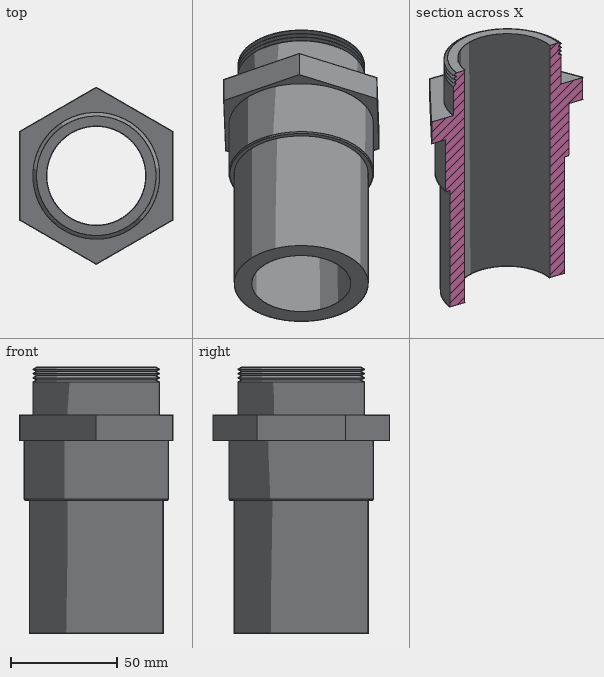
import cadquery as cq
import math

total_height = 125.0
bore_diameter = 46.5

spigot_diameter = 63.0
spigot_height = 62.5

collar_diameter = 68.0
collar_height = 28.0
collar_chamfer_height = 0.7
collar_chamfer_width = 0.5

hex_across_flats = 72.0
hex_height = 12.0
hex_sides = 6
hex_half_corner_angle = 180 / hex_sides
hex_corner_diameter = hex_across_flats / math.cos(math.radians(hex_half_corner_angle))

thread_diameter = 59.6
thread_pitch = 2.0
thread_profile_angle = 60.0
thread_crest_count = 3
half_pitch = thread_pitch / 2
thread_depth = half_pitch / math.tan(math.radians(thread_profile_angle / 2))

collar_base = spigot_height
hex_base = collar_base + collar_height
neck_base = hex_base + hex_height


def make_spigot():
    return cq.Workplane("XY").circle(spigot_diameter / 2).extrude(spigot_height)


def make_collar():
    base = cq.Workplane("XY", origin=(0, 0, collar_base))
    collar = base.circle(collar_diameter / 2).extrude(collar_height)
    return collar.faces("<Z").edges().chamfer(collar_chamfer_height, collar_chamfer_width)


def make_hexagon():
    hexagon = cq.Workplane("XY").polygon(hex_sides, hex_corner_diameter).extrude(hex_height)
    return hexagon.rotate((0, 0, 0), (0, 0, 1), hex_half_corner_angle).translate((0, 0, hex_base))


def make_threaded_neck():
    """Revolve a half profile whose upper end zigzags between crests and roots."""
    crest_radius = thread_diameter / 2
    root_radius = crest_radius - thread_depth
    profile = cq.Workplane("XZ").moveTo(0, total_height).lineTo(root_radius, total_height)
    crest_level = total_height - half_pitch
    for _ in range(thread_crest_count):
        profile = profile.lineTo(crest_radius, crest_level)
        profile = profile.lineTo(root_radius, crest_level - half_pitch)
        crest_level -= thread_pitch
    profile = profile.lineTo(crest_radius, crest_level)
    profile = profile.lineTo(crest_radius, neck_base).lineTo(0, neck_base).close()
    return profile.revolve(360, (0, 0, 0), (0, 1, 0))


def make_bore():
    return cq.Workplane("XY").circle(bore_diameter / 2).extrude(total_height)


body = make_spigot().union(make_collar()).union(make_hexagon()).union(make_threaded_neck())
result = body.cut(make_bore())